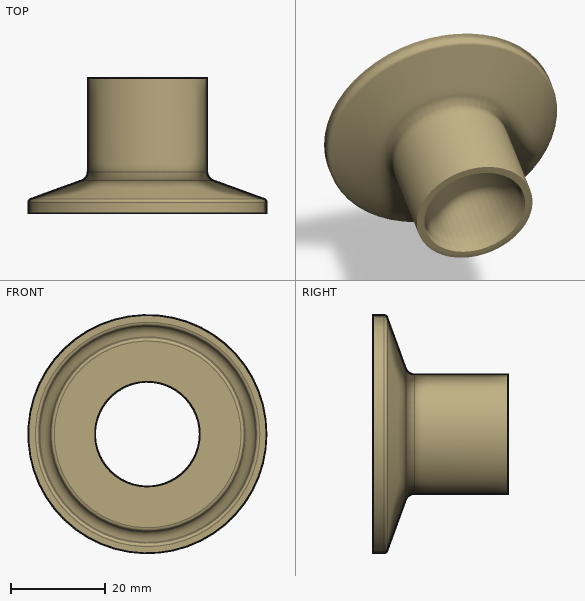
import cadquery as cq
import math

flange_radius = 50.5 / 2
tube_radius = 25.4 / 2
bore_radius = 22.1 / 2
total_length = 28.7
rim_corner_height = 2.9
cone_angle = math.radians(20)
rim_round = 0.75
neck_fillet = 1.9

groove_center_radius = 21.75
groove_half_width = 1.995
groove_depth = 1.6
groove_bottom_radius = 1.2
groove_lip_radius = 0.75


def revolve_about_y(profile):
    return profile.close().revolve(360, (0, 0, 0), (0, 1, 0))


def on_circle(center, radius, angle):
    """Point on a circle, with the angle measured from the radial direction."""
    return (center[0] + radius * math.cos(angle), center[1] + radius * math.sin(angle))


def ferrule_body():
    cone_normal = math.pi / 2 - cone_angle
    half_turn_tangent = math.tan(cone_normal / 2)
    neck_corner_height = rim_corner_height + (flange_radius - tube_radius) * math.tan(cone_angle)
    rim_center = (flange_radius - rim_round, rim_corner_height - rim_round * half_turn_tangent)
    neck_center = (tube_radius + neck_fillet, neck_corner_height + neck_fillet * half_turn_tangent)

    profile = (
        cq.Workplane("XY")
        .moveTo(bore_radius, 0)
        .lineTo(flange_radius, 0)
        .lineTo(flange_radius, rim_center[1])
        .threePointArc(
            on_circle(rim_center, rim_round, cone_normal / 2),
            on_circle(rim_center, rim_round, cone_normal),
        )
        .lineTo(*on_circle(neck_center, neck_fillet, math.pi + cone_normal))
        .threePointArc(
            on_circle(neck_center, neck_fillet, math.pi + cone_normal / 2),
            on_circle(neck_center, neck_fillet, math.pi),
        )
        .lineTo(tube_radius, total_length)
        .lineTo(bore_radius, total_length)
    )
    return revolve_about_y(profile)


def gasket_groove():
    bottom_center = (groove_center_radius, groove_depth - groove_bottom_radius)
    center_rise = groove_lip_radius - bottom_center[1]
    radius_sum = groove_bottom_radius + groove_lip_radius
    center_distance = math.hypot(groove_half_width, center_rise)
    wall_normal = math.acos(radius_sum / center_distance) + math.atan2(center_rise, groove_half_width)
    lip_mid = (wall_normal - math.pi / 2) / 2
    outer_lip = (groove_center_radius + groove_half_width, groove_lip_radius)
    inner_lip = (groove_center_radius - groove_half_width, groove_lip_radius)

    profile = (
        cq.Workplane("XY")
        .moveTo(outer_lip[0], 0)
        .threePointArc(
            on_circle(outer_lip, -groove_lip_radius, math.pi / 2 + lip_mid),
            on_circle(outer_lip, -groove_lip_radius, wall_normal),
        )
        .lineTo(*on_circle(bottom_center, groove_bottom_radius, wall_normal))
        .threePointArc(
            (groove_center_radius, groove_depth),
            on_circle(bottom_center, groove_bottom_radius, math.pi - wall_normal),
        )
        .lineTo(*on_circle(inner_lip, -groove_lip_radius, math.pi - wall_normal))
        .threePointArc(
            on_circle(inner_lip, -groove_lip_radius, math.pi / 2 - lip_mid),
            (inner_lip[0], 0),
        )
    )
    return revolve_about_y(profile)


result = ferrule_body().cut(gasket_groove())